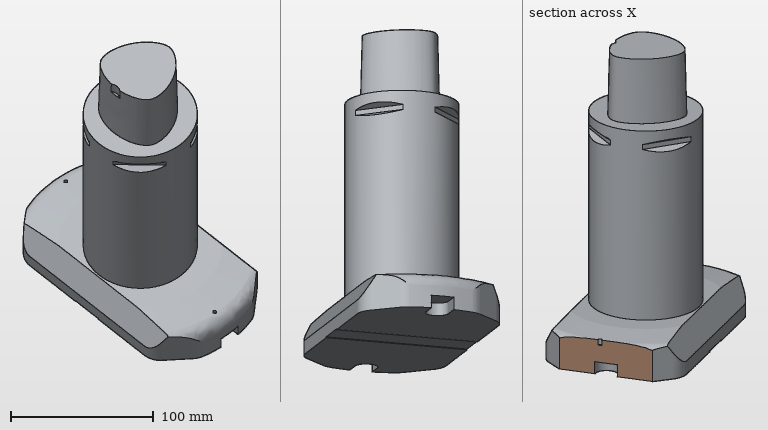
import cadquery as cq
import math

base_height = 28.2
shoulder_z = 170.0
total_height = 218.0

base_length = 180.0
base_width = 104.0
end_radius = base_length / 2
crown_radius = 57.5
crown_slope = 5.0
rim_fillet = 10.0
side_edge_z = 10.0
side_lean = 60.0
corner_angle = 50.0
corner_point = (76.4, 38.3)
corner_fillet = 16.0

key_slot_width = 16.5
key_slot_height = 9.0
key_slot_depth = 20.0
key_slot_corner = 8.0
relief_width = 22.5
relief_depth = 0.6
nozzle_diameter = 2.5
nozzle_depth = 6.0
nozzle_x = 79.3
nozzle_y = 4.5

column_diameter = 80.0
groove_below_shoulder = 12.0
groove_z = shoulder_z - groove_below_shoulder
groove_angles = (45, 135, 225, 315)
groove_floor_distance = 35.4
groove_floor_height = 3.6
groove_wall_angle = 30.0
cut_margin = 1.0

shank_top_radius = 26.5
shank_taper = 1 / 40
lobe_offset = 2.2
lobe_directions = (90, 210, 330)
lobe_spacing = 120.0
lobe_half_angle = 33.0
curve_steps = 8
shank_notch_radius = 7.0
shank_notch_bottom_y = -22.7
shank_notch_height = 8.0


def base_outline():
    """Plan outline without the round ends: a rectangle with four sloping corners."""
    slope = math.tan(math.radians(corner_angle))
    half_width = base_width / 2
    side_x = corner_point[0] - (half_width - corner_point[1]) / slope
    tip_x = corner_point[0] + corner_point[1] / slope
    points = [
        (side_x, half_width),
        (tip_x, 0),
        (side_x, -half_width),
        (-side_x, -half_width),
        (-tip_x, 0),
        (-side_x, half_width),
    ]
    return cq.Workplane("XY").polyline(points).close().extrude(base_height)


def round_outline():
    return cq.Workplane("XY").circle(end_radius).extrude(base_height)


def crown():
    """Turned body with a flat middle, a gently falling outer top and a rounded rim."""
    slope = math.radians(crown_slope)
    rim_z = base_height - (end_radius - crown_radius) * math.tan(slope)
    profile = [
        (0, 0),
        (end_radius, 0),
        (end_radius, rim_z),
        (crown_radius, base_height),
        (0, base_height),
    ]
    body = cq.Workplane("XZ").polyline(profile).close().revolve(360, (0, 0, 0), (0, 1, 0))
    rim_edge = body.edges("%CIRCLE").edges(cq.selectors.RadiusNthSelector(-1)).edges(">Z")
    return rim_edge.fillet(rim_fillet)


def side_envelope():
    """Cross-section of the base along X, with both long sides leaning inwards."""
    half_width = base_width / 2
    lean_run = (base_height - side_edge_z) / math.tan(math.radians(side_lean))
    top_half_width = half_width - lean_run
    points = [
        (-half_width, 0),
        (half_width, 0),
        (half_width, side_edge_z),
        (top_half_width, base_height),
        (-top_half_width, base_height),
        (-half_width, side_edge_z),
    ]
    return cq.Workplane("YZ").polyline(points).close().extrude(end_radius, both=True)


def key_slot(side):
    """Driving slot with rounded inner corners, open to the underside and to one end of the base."""
    inner_x = end_radius - key_slot_depth
    slot_length = 2 * key_slot_depth
    return (
        cq.Workplane("XY")
        .center(side * (inner_x + slot_length / 2), 0)
        .rect(slot_length, key_slot_width)
        .extrude(key_slot_height)
        .edges("|Z")
        .fillet(key_slot_corner)
    )


def nozzle_hole(side):
    return (
        cq.Workplane("XY", origin=(side * nozzle_x, -side * nozzle_y, base_height - nozzle_depth))
        .circle(nozzle_diameter / 2)
        .extrude(nozzle_depth)
    )


def make_base():
    plan = base_outline().intersect(round_outline()).edges("|Z").fillet(corner_fillet)
    base = plan.intersect(crown()).intersect(side_envelope())
    for side in (-1, 1):
        base = base.cut(key_slot(side)).cut(nozzle_hole(side))
    relief = cq.Workplane("XY").rect(relief_width, 2 * base_width).extrude(relief_depth)
    return base.cut(relief)


def gripper_groove(angle):
    """Straight groove with flared walls, cut across the column on the side at this angle."""
    outer_distance = column_diameter / 2 + cut_margin
    flare = (outer_distance - groove_floor_distance) * math.tan(math.radians(groove_wall_angle))
    floor_half = groove_floor_height / 2
    mouth_half = floor_half + flare
    points = [
        (groove_floor_distance, -floor_half),
        (outer_distance, -mouth_half),
        (outer_distance, mouth_half),
        (groove_floor_distance, floor_half),
    ]
    groove = cq.Workplane("XZ").polyline(points).close().extrude(column_diameter, both=True)
    return groove.translate((0, 0, groove_z)).rotate((0, 0, 0), (0, 0, 1), angle)


def make_column():
    column = (
        cq.Workplane("XY", origin=(0, 0, base_height))
        .circle(column_diameter / 2)
        .extrude(shoulder_z - base_height)
    )
    for angle in groove_angles:
        column = column.cut(gripper_groove(angle))
    return column


def shank_point(radius, angle, z):
    """Point of the lobed curve whose outward normal has this angle; one lobe points to +Y."""
    lobe_phase = 3 * (angle - math.pi / 2)
    reach = radius + lobe_offset * math.cos(lobe_phase)
    reach_rate = -3 * lobe_offset * math.sin(lobe_phase)
    x = reach * math.cos(angle) - reach_rate * math.sin(angle)
    y = reach * math.sin(angle) + reach_rate * math.cos(angle)
    return cq.Vector(x, y, z)


def shank_section(radius, z):
    """Closed section made of three lobe curves and the three flatter curves between them."""
    edges = []
    for lobe in lobe_directions:
        breaks = (lobe - lobe_half_angle, lobe + lobe_half_angle, lobe + lobe_spacing - lobe_half_angle)
        for start, end in zip(breaks, breaks[1:]):
            angles = [math.radians(start + (end - start) * i / curve_steps) for i in range(curve_steps + 1)]
            tangents = [cq.Vector(-math.sin(a), math.cos(a), 0) for a in (angles[0], angles[-1])]
            edges.append(cq.Edge.makeSpline([shank_point(radius, a, z) for a in angles], tangents))
    return cq.Wire.assembleEdges(edges)


def make_shank():
    shank_height = total_height - shoulder_z
    bottom = shank_section(shank_top_radius + shank_height * shank_taper, shoulder_z)
    top = shank_section(shank_top_radius, total_height)
    shank = cq.Workplane(obj=cq.Solid.makeLoft([bottom, top], True))
    notch = (
        cq.Workplane("XY", origin=(0, 0, total_height - shank_notch_height))
        .center(0, shank_notch_bottom_y - shank_notch_radius)
        .circle(shank_notch_radius)
        .extrude(shank_notch_height)
    )
    return shank.cut(notch)


result = make_base().union(make_column()).union(make_shank())